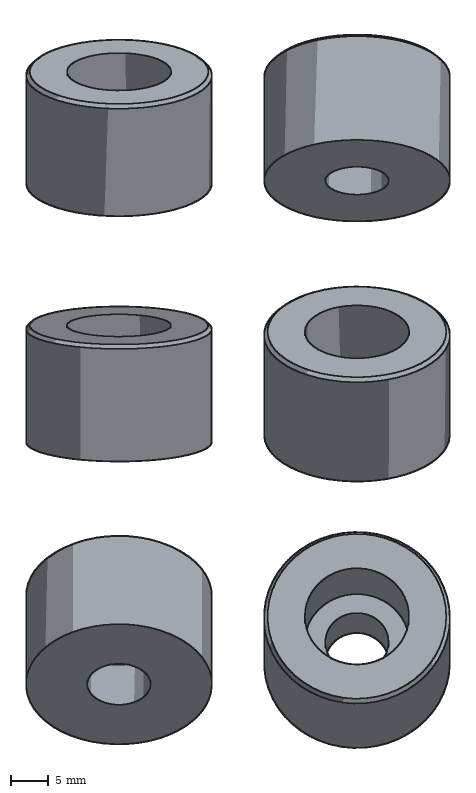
import cadquery as cq

outer_diameter = 25.0
height = 16.0
top_chamfer = 0.5
bore_diameter = 8.5
counterbore_diameter = 14.0
counterbore_depth = 9.0

body = (
    cq.Workplane("XY")
    .circle(outer_diameter / 2)
    .extrude(height)
    .faces(">Z")
    .edges()
    .chamfer(top_chamfer)
)

result = (
    body.faces(">Z")
    .workplane()
    .cboreHole(bore_diameter, counterbore_diameter, counterbore_depth)
)